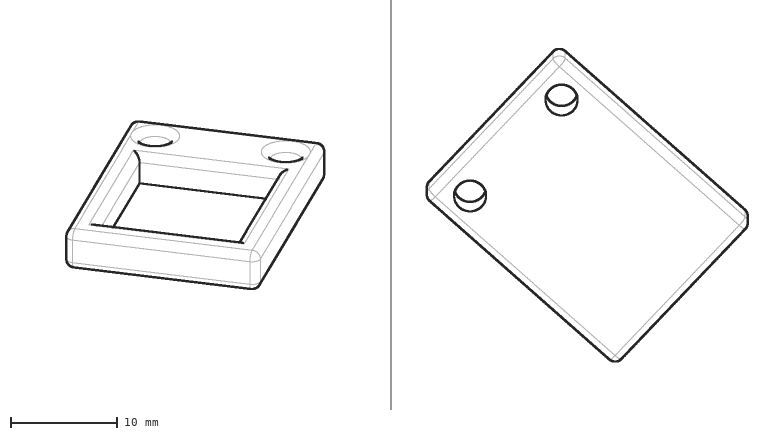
import cadquery as cq
import math

width = 18.88
length = 24.55
thickness = 4.0
edge_radius = 0.8

pocket_width = 13.5
pocket_length = 14.5
pocket_depth = 3.0
pocket_margin = 2.7
pocket_y = -length / 2 + pocket_margin + pocket_length / 2

hole_diameter = 3.0
hole_spacing = 12.72
hole_back_offset = 3.17
hole_radius = hole_diameter / 2
hole_y = length / 2 - hole_back_offset


def rounded_plate():
    """Plate with every outer edge rounded, its base on Z = 0."""
    plate = cq.Workplane("XY").box(width, length, thickness, centered=(True, True, False))
    return plate.edges().fillet(edge_radius)


def cut_pocket(body):
    """Cut the pocket and round its rim."""
    body = (
        body.faces(">Z")
        .workplane(origin=(0, pocket_y, thickness))
        .rect(pocket_width, pocket_length)
        .cutBlind(-pocket_depth)
    )
    reach = edge_radius / 2
    half_x = pocket_width / 2 + reach
    half_y = pocket_length / 2 + reach
    rim = cq.selectors.BoxSelector(
        (-half_x, pocket_y - half_y, thickness - reach),
        (half_x, pocket_y + half_y, thickness + reach),
    )
    return body.edges(rim).fillet(edge_radius)


def hole_cutter(x):
    """Through hole whose top rim flares outward along a convex radius."""
    flare_radius = hole_radius + edge_radius
    flare_z = thickness - edge_radius
    arc_offset = edge_radius * math.sqrt(0.5)
    profile = (
        cq.Workplane("XZ")
        .lineTo(hole_radius, 0)
        .lineTo(hole_radius, flare_z)
        .threePointArc(
            (flare_radius - arc_offset, flare_z + arc_offset),
            (flare_radius, thickness),
        )
        .lineTo(0, thickness)
        .close()
    )
    return profile.revolve(360, (0, 0, 0), (0, 1, 0)).translate((x, hole_y, 0))


result = cut_pocket(rounded_plate())
for side in (-1, 1):
    result = result.cut(hole_cutter(side * hole_spacing / 2))